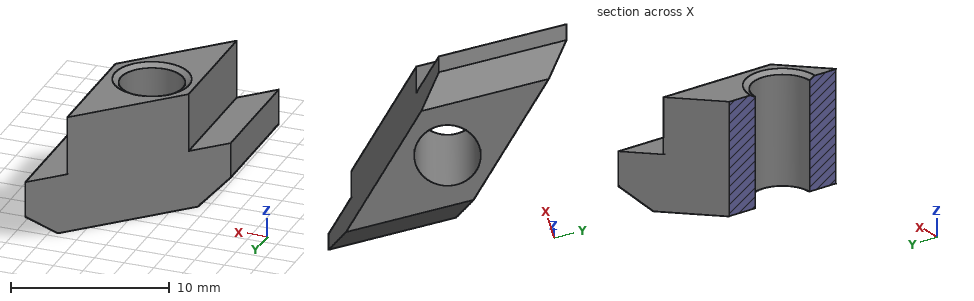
import cadquery as cq

length = 18.34
base_width = 10.0
neck_width = 5.9
height = 8.0
base_height = 4.02
base_chamfer = 1.6
hole_diameter = 4.2
countersink_diameter = 5.0

side_length = length - base_width
countersink_depth = 0.24


def tee_bar():
    """T-shaped section with chamfered lower edges, running along Y."""
    half_base = base_width / 2
    half_neck = neck_width / 2
    half_floor = half_base - base_chamfer
    section = [
        (-half_floor, 0),
        (half_floor, 0),
        (half_base, base_chamfer),
        (half_base, base_height),
        (half_neck, base_height),
        (half_neck, height),
        (-half_neck, height),
        (-half_neck, base_height),
        (-half_base, base_height),
        (-half_base, base_chamfer),
    ]
    return cq.Workplane("XZ").polyline(section).close().extrude(length / 2, both=True)


def slanted_outline():
    """Parallelogram prism that trims both ends of the bar at 45 degrees."""
    half_base = base_width / 2
    tip = length / 2
    corners = [
        (-half_base, -tip),
        (half_base, tip - side_length),
        (half_base, tip),
        (-half_base, side_length - tip),
    ]
    return cq.Workplane("XY").polyline(corners).close().extrude(height)


def countersunk_hole():
    """Vertical through hole with a shallow countersink at the top."""
    hole = cq.Workplane("XY").circle(hole_diameter / 2).extrude(height)
    countersink = (
        cq.Workplane("XY", origin=(0, 0, height - countersink_depth))
        .circle(hole_diameter / 2)
        .workplane(offset=countersink_depth)
        .circle(countersink_diameter / 2)
        .loft(ruled=True)
    )
    return hole.union(countersink)


result = tee_bar().intersect(slanted_outline()).cut(countersunk_hole())